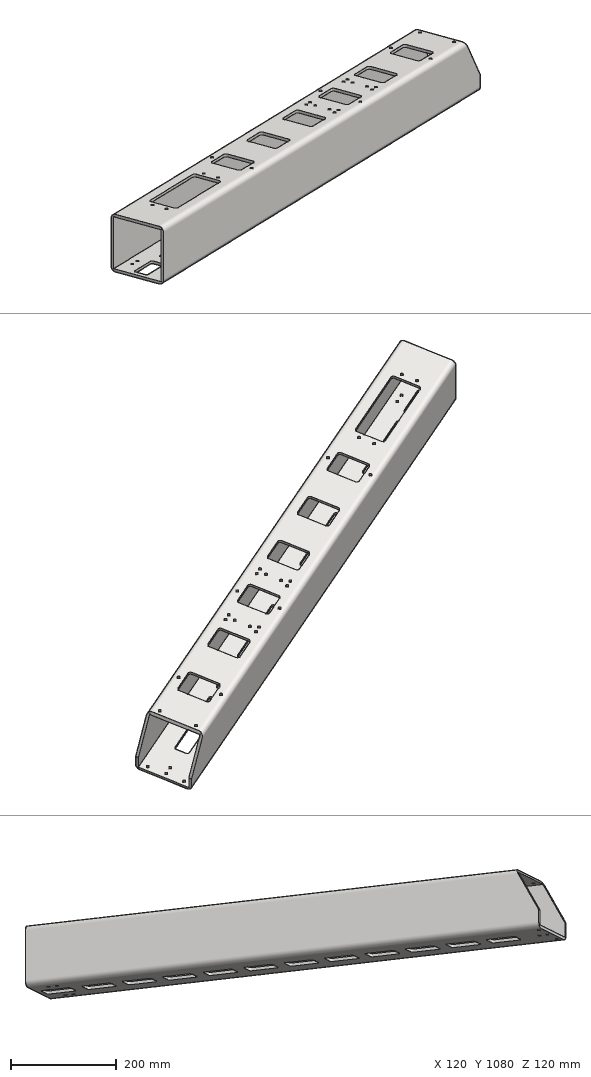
import cadquery as cq
import math

length = 1080.0
side = 120.0
wall = 6.0
corner_radius = 11.0

bevel_angle = 60.0
bevel_foot_height = 35.0

window_width = 68.0
window_length = 51.0
window_radius = 5.0
window_pitch = 122.0
window_count = 6
first_window_y = 325.0

long_window_width = 63.0
long_window_length = 153.0
long_window_y = 163.0

slot_width = 30.0
slot_length = 60.0
slot_radius = 4.0
slot_count = 12
first_slot_y = 41.0
last_slot_y = 977.0
slot_pitch = (last_slot_y - first_slot_y) / (slot_count - 1)

hole_diameter = 5.0
window_hole_x = 45.0
window_hole_ys = (322.0, 692.0, 932.0)
cluster_ys = (631.0, 758.0)
cluster_inner_x = 16.0
cluster_outer_x = 32.0
cluster_half_gap = 6.0
long_window_hole_x = 16.0
long_window_hole_offset = 87.0
rear_hole_x = 39.0
rear_top_hole_y = 1022.0
rear_bottom_hole_y = 1070.0
rear_centre_hole_ys = (1053.0, 1069.0)
front_bottom_hole_x = 37.0
front_bottom_hole_ys = (38.0, 55.0)


def make_tube():
    """Square tube with rounded outer edges and a sharp-cornered bore."""
    outer = cq.Workplane("XY").box(side, length, side).edges("|Y").fillet(corner_radius)
    bore = side - 2 * wall
    inner = cq.Workplane("XY").box(bore, length, bore)
    return outer.cut(inner).translate((0, length / 2, 0))


def make_rear_wedge():
    """Triangular prism that removes the upper rear corner of the tube."""
    rise = side - bevel_foot_height
    setback = rise / math.tan(math.radians(bevel_angle))
    profile = [
        (length, side / 2 - rise),
        (length, side / 2),
        (length - setback, side / 2),
    ]
    return cq.Workplane("YZ").polyline(profile).close().extrude(side / 2, both=True)


def wall_cutter(points, z):
    """Workplane at the mid-thickness of a wall, with the given XY points selected."""
    return cq.Workplane("XY", origin=(0, 0, z)).pushPoints(points)


def rounded_openings(points, z, width, opening_length, radius):
    """Rounded rectangles that pass through one wall."""
    blocks = wall_cutter(points, z).rect(width, opening_length).extrude(wall, both=True)
    return blocks.edges("|Z").fillet(radius)


def round_holes(points, z):
    """Screw holes that pass through one wall."""
    return wall_cutter(points, z).circle(hole_diameter / 2).extrude(wall, both=True)


def mirrored(x, y):
    """A pair of points on either side of the tube's centre plane."""
    return [(-x, y), (x, y)]


top_z = (side - wall) / 2
bottom_z = -top_z
window_ys = [first_window_y + i * window_pitch for i in range(window_count)]
slot_ys = [first_slot_y + i * slot_pitch for i in range(slot_count)]

top_holes = mirrored(rear_hole_x, rear_top_hole_y)
for y in window_hole_ys:
    top_holes += mirrored(window_hole_x, y)
for y in cluster_ys:
    top_holes += mirrored(cluster_inner_x, y)
    top_holes += mirrored(cluster_outer_x, y - cluster_half_gap)
    top_holes += mirrored(cluster_outer_x, y + cluster_half_gap)
for offset in (-long_window_hole_offset, long_window_hole_offset):
    top_holes += mirrored(long_window_hole_x, long_window_y + offset)

bottom_holes = mirrored(rear_hole_x, rear_bottom_hole_y)
bottom_holes += [(0, y) for y in rear_centre_hole_ys]
for y in front_bottom_hole_ys:
    bottom_holes += mirrored(front_bottom_hole_x, y)

windows = rounded_openings([(0, y) for y in window_ys], top_z, window_width, window_length, window_radius)
long_window = rounded_openings(
    [(0, long_window_y)], top_z, long_window_width, long_window_length, window_radius
)
slots = rounded_openings([(0, y) for y in slot_ys], bottom_z, slot_width, slot_length, slot_radius)

result = (
    make_tube()
    .cut(make_rear_wedge())
    .cut(windows)
    .cut(long_window)
    .cut(slots)
    .cut(round_holes(top_holes, top_z))
    .cut(round_holes(bottom_holes, bottom_z))
)